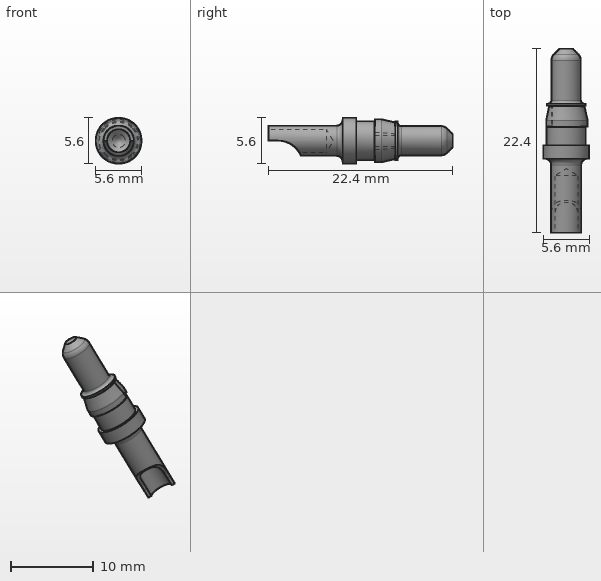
import cadquery as cq
import math

total_length = 22.4
tip_y = total_length / 2
end_y = -total_length / 2

pin_radius = 3.6 / 2
tip_chamfer_length = 1.0
tip_angle = 45.0
tip_blend_radius = 1.0

lip_radius = 4.75 / 2
lip_fillet = 0.45
lip_front_y = tip_y - 6.7
lip_width = 0.27

groove_radius = 3.6 / 2
groove_width = 2.56

body_radius = 4.8 / 2
body_length = 2.2
collar_radius = 5.6 / 2
collar_width = 1.67
collar_fillet = 0.7

cup_radius = 3.7 / 2
bore_radius = 2.8 / 2
bore_depth = 7.0
bore_point_angle = 118.0
cutout_length = 3.95
cutout_radius = 3.0

clip_radius = 5.25 / 2
clip_front_radius = 4.5 / 2
clip_end_gap = 0.05
clip_band_width = 0.8
clip_opening_angle = 45.0

groove_front_y = lip_front_y - lip_width
groove_back_y = groove_front_y - groove_width
collar_front_y = groove_back_y - body_length
collar_back_y = collar_front_y - collar_width


def revolve_about_axis(profile):
    """Close a profile drawn in X (radius) and Y and turn it fully about the Y axis."""
    return profile.close().revolve(360, (0, 0, 0), (0, 1, 0))


def make_turned_body():
    """Solid of revolution from the cup end to the rounded pin tip."""
    half_tip_turn = math.radians(tip_angle / 2)
    blend_setback = tip_blend_radius * math.tan(half_tip_turn)
    blend_end_y = tip_y - tip_chamfer_length - blend_setback
    tip_radius = pin_radius - tip_chamfer_length * math.tan(2 * half_tip_turn)
    blend_center_radius = pin_radius - tip_blend_radius
    blend_mid = (
        blend_center_radius + tip_blend_radius * math.cos(half_tip_turn),
        blend_end_y + tip_blend_radius * math.sin(half_tip_turn),
    )
    blend_start = (
        blend_center_radius + tip_blend_radius * math.cos(2 * half_tip_turn),
        blend_end_y + tip_blend_radius * math.sin(2 * half_tip_turn),
    )
    arc_inset_factor = 1 - math.sqrt(0.5)
    collar_fillet_mid = (
        cup_radius + collar_fillet * arc_inset_factor,
        collar_back_y - collar_fillet * arc_inset_factor,
    )
    lip_fillet_mid = (
        pin_radius + lip_fillet * arc_inset_factor,
        lip_front_y + lip_fillet * arc_inset_factor,
    )
    profile = (
        cq.Workplane("XY")
        .moveTo(0, end_y)
        .lineTo(cup_radius, end_y)
        .lineTo(cup_radius, collar_back_y - collar_fillet)
        .threePointArc(collar_fillet_mid, (cup_radius + collar_fillet, collar_back_y))
        .lineTo(collar_radius, collar_back_y)
        .lineTo(collar_radius, collar_front_y)
        .lineTo(body_radius, collar_front_y)
        .lineTo(body_radius, groove_back_y)
        .lineTo(groove_radius, groove_back_y)
        .lineTo(groove_radius, groove_front_y)
        .lineTo(lip_radius, groove_front_y)
        .lineTo(lip_radius, lip_front_y)
        .lineTo(pin_radius + lip_fillet, lip_front_y)
        .threePointArc(lip_fillet_mid, (pin_radius, lip_front_y + lip_fillet))
        .lineTo(pin_radius, blend_end_y)
        .threePointArc(blend_mid, blend_start)
        .lineTo(tip_radius, tip_y)
        .lineTo(0, tip_y)
    )
    return revolve_about_axis(profile)


def make_clip_opening():
    """Wedge whose radial faces leave the clip open on the -X side."""
    reach = 2 * clip_radius
    half_width = reach * math.tan(math.radians(clip_opening_angle / 2))
    return (
        cq.Workplane("XZ", origin=(0, groove_front_y, 0))
        .polyline([(0, 0), (-reach, half_width), (-reach, -half_width)])
        .close()
        .extrude(groove_width)
    )


def make_clip():
    """Open spring ring seated in the groove, tapering toward the pin tip."""
    front_y = groove_front_y - clip_end_gap
    back_y = groove_back_y + clip_end_gap
    profile = (
        cq.Workplane("XY")
        .moveTo(groove_radius, back_y)
        .lineTo(clip_radius, back_y)
        .lineTo(clip_radius, back_y + clip_band_width)
        .lineTo(clip_front_radius, front_y)
        .lineTo(groove_radius, front_y)
    )
    return revolve_about_axis(profile).cut(make_clip_opening())


def make_cup_bore():
    """Blind drilled hole with a conical bottom, entering from the cup end."""
    bottom_y = end_y + bore_depth
    point_length = bore_radius / math.tan(math.radians(bore_point_angle / 2))
    profile = (
        cq.Workplane("XY")
        .moveTo(0, end_y)
        .lineTo(bore_radius, end_y)
        .lineTo(bore_radius, bottom_y)
        .lineTo(0, bottom_y + point_length)
    )
    return revolve_about_axis(profile)


def make_cup_cutout():
    """Removes the lower half of the cup end, running out downward along an arc."""
    runout_y = end_y + cutout_length
    runout_rise = cutout_radius - cup_radius
    runout_reach = math.sqrt(cutout_radius**2 - runout_rise**2)
    center_y = runout_y - runout_reach
    mid_angle = (math.pi / 2 + math.atan2(runout_rise, runout_reach)) / 2
    arc_mid = (
        center_y + cutout_radius * math.cos(mid_angle),
        cutout_radius * math.sin(mid_angle) - cutout_radius,
    )
    return (
        cq.Workplane("YZ")
        .moveTo(end_y, 0)
        .lineTo(center_y, 0)
        .threePointArc(arc_mid, (runout_y, -cup_radius))
        .lineTo(end_y, -cup_radius)
        .close()
        .extrude(cup_radius, both=True)
    )


result = make_turned_body().union(make_clip()).cut(make_cup_bore()).cut(make_cup_cutout())